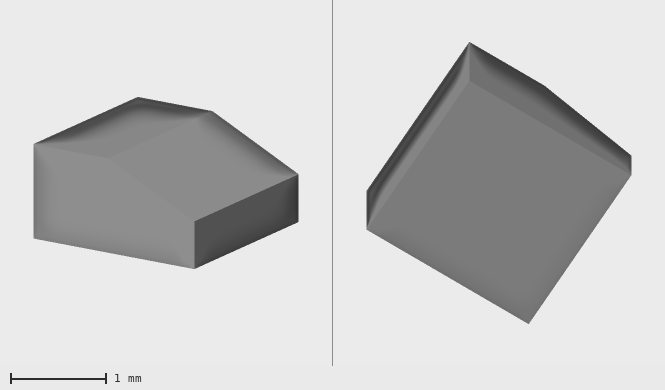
import cadquery as cq

length = 2.0
width = 2.0
height = 1.03

flat_length = 0.928
low_end_height = 0.52

result = (
    cq.Workplane("XZ")
    .moveTo(0, 0)
    .lineTo(length, 0)
    .lineTo(length, low_end_height)
    .lineTo(flat_length, height)
    .lineTo(0, height)
    .close()
    .extrude(width / 2, both=True)
)